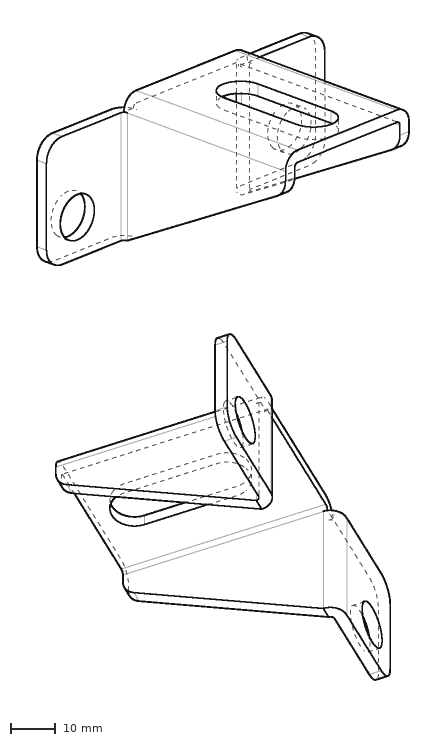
import cadquery as cq

length = 53.0
width = 90.0
height = 35.0

thickness = 3.0
inner_bend = 1.0
outer_bend = inner_bend + thickness

channel_width = 40.0
half_channel = channel_width / 2
web_height = height - outer_bend
web_tip_height = 25.65
corner_radius = 5.0

hole_diameter = 11.0
hole_edge_distance = 10.0
slot_length = 33.6
slot_center_x = 31.3


def rounded_bar(bar_width, radius):
    """Bar along X, centred on the bend axes, with both upper edges rounded."""
    return (
        cq.Workplane("YZ", origin=(thickness, 0, web_height))
        .rect(bar_width, 2 * radius)
        .extrude(length - thickness)
        .edges("|X and >Z")
        .fillet(radius)
    )


def make_top():
    """Top plate with its two longitudinal bends and a slot."""
    outer = rounded_bar(channel_width, outer_bend)
    inner = rounded_bar(channel_width - 2 * thickness, inner_bend)
    below_bends = (
        cq.Workplane("XY")
        .box(length, channel_width, web_height, centered=(False, True, False))
    )
    slot = (
        cq.Workplane("XY")
        .center(slot_center_x, 0)
        .slot2D(slot_length, hole_diameter)
        .extrude(height)
    )
    return outer.cut(inner).cut(below_bends).cut(slot)


def make_web():
    """Tapered web on the -Y side, with a rounded lower tip."""
    inner_face_y = -half_channel + thickness
    tip_edge_middle = (length, inner_face_y - thickness / 2, web_tip_height)
    return (
        cq.Workplane("XZ", origin=(0, inner_face_y, 0))
        .moveTo(outer_bend, 0)
        .lineTo(length, web_tip_height)
        .lineTo(length, web_height)
        .lineTo(outer_bend, web_height)
        .close()
        .extrude(thickness)
        .edges(cq.selectors.NearestToPointSelector(tip_edge_middle))
        .fillet(corner_radius)
    )


def make_flange():
    """Mounting flange on the -Y side, with the bend joining it to the web."""
    bend_y = -half_channel - inner_bend
    plate_width = width / 2 + bend_y
    plate = (
        cq.Workplane("XY")
        .box(thickness, plate_width, web_height, centered=False)
        .translate((0, -width / 2, 0))
        .edges("|X and <Y")
        .fillet(corner_radius)
    )
    hole = (
        cq.Workplane("YZ")
        .center(-width / 2 + hole_edge_distance, hole_edge_distance)
        .circle(hole_diameter / 2)
        .extrude(thickness)
    )
    ring = (
        cq.Workplane("XY")
        .center(outer_bend, bend_y)
        .circle(outer_bend)
        .circle(inner_bend)
        .extrude(web_height)
    )
    quarter = (
        cq.Workplane("XY")
        .box(outer_bend, outer_bend, web_height, centered=False)
        .translate((0, bend_y, 0))
    )
    return plate.cut(hole).union(ring.intersect(quarter))


side = make_web().union(make_flange())
result = make_top().union(side).union(side.mirror("XZ"))